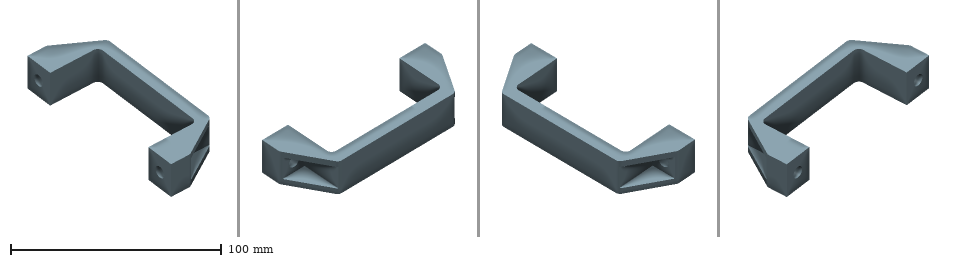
import cadquery as cq

length = 106.5
depth = 37.1
width = 20.0

leg_thickness = 16.8
grip_thickness = 7.0
foot_height = 11.8
slope_run = 15.2
shoulder_radius = 3.0
inner_radius = 3.2

hole_spacing = 90.0
hole_diameter = 6.5
ledge_height = 13.2
pocket_width = 13.1
pocket_wall_inset = 15.2

half_length = length / 2
foot_y = -depth / 2
grip_y = depth / 2


def make_body():
    """Bow-shaped handle with sloped shoulders and rounded corners."""
    shoulder_x = half_length - slope_run
    outer_body = (
        cq.Workplane("XY")
        .polyline([
            (-half_length, foot_y),
            (half_length, foot_y),
            (half_length, foot_y + foot_height),
            (shoulder_x, grip_y),
            (-shoulder_x, grip_y),
            (-half_length, foot_y + foot_height),
        ])
        .close()
        .extrude(width / 2, both=True)
        .edges("|Z")
        .edges("not (<Y)")
        .fillet(shoulder_radius)
    )
    opening_depth = depth - grip_thickness
    opening = (
        cq.Workplane("XY")
        .center(0, foot_y + opening_depth / 2)
        .rect(length - 2 * leg_thickness, opening_depth)
        .extrude(width / 2, both=True)
        .edges("|Z and >Y")
        .fillet(inner_radius)
    )
    return outer_body.cut(opening)


def make_pocket(side):
    """Box cut into a sloped face, leaving a flat seat square to the screw."""
    pocket_depth = depth - ledge_height
    centre = (side * (half_length - pocket_wall_inset / 2), grip_y - pocket_depth / 2, 0)
    return cq.Workplane("XY", origin=centre).box(pocket_wall_inset, pocket_depth, pocket_width)


def make_screw_hole(side):
    """Cylinder along Y from the foot up to the seat."""
    hole = cq.Workplane("XZ", origin=(side * hole_spacing / 2, foot_y, 0))
    return hole.circle(hole_diameter / 2).extrude(-ledge_height)


result = make_body()
for side in (-1, 1):
    result = result.cut(make_pocket(side))
    result = result.cut(make_screw_hole(side))